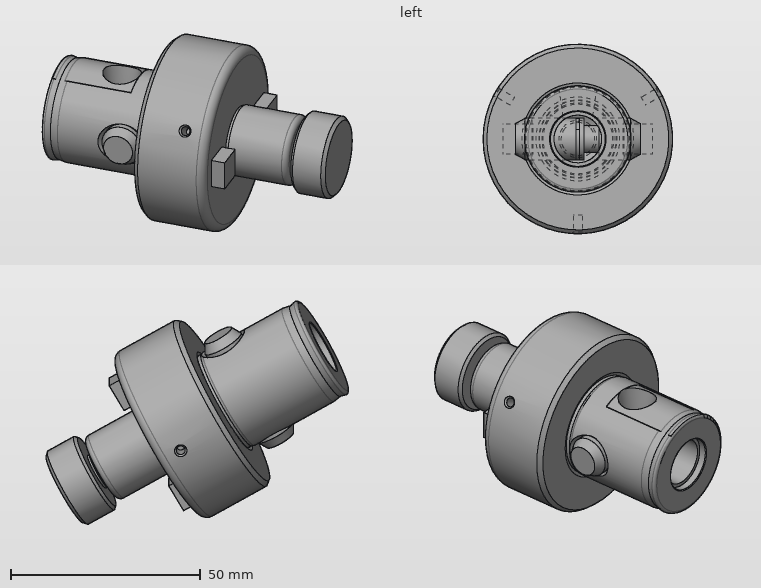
import cadquery as cq
import math

SPIGOT_GROOVE_BOTTOM = 2.4
SPIGOT_GROOVE_END = 4.55
SPIGOT_END = 28.65
RELIEF_START = 29.35
FLANGE_START = 30.0
FLANGE_END = 50.0
NECK_END = 50.8
SHANK_END = 67.5
COLLAR_START = 68.3
HEAD_START = 68.8
OVERALL_LENGTH = 78.5

SPIGOT_RADIUS = 14.05
SPIGOT_FILLET = 0.9
SPIGOT_GROOVE_RADIUS = 13.65
RELIEF_RADIUS = 13.8
FACE_GROOVE_RADIUS = 14.75
FACE_GROOVE_DEPTH = 0.4
FLANGE_DIAMETER = 50.0
FLANGE_RADIUS = FLANGE_DIAMETER / 2
FLANGE_CHAMFER_LENGTH = 1.25
FLANGE_CHAMFER_HEIGHT = 1.0
FLANGE_FILLET = 2.3
SHANK_RADIUS = 9.5
NECK_RADIUS = 9.2
SHANK_FILLET = 1.6

BORE_RADIUS = 6.3
BORE_END = 28.25
BORE_TIP_HALF_ANGLE = 59
MOUTH_RADIUS = 7.2
MOUTH_DEPTH = 2.1
MOUTH_CHAMFER = 0.2

PAD_DEPTH = 0.12
PAD_RADIUS = SPIGOT_RADIUS - PAD_DEPTH
PAD_END = 22.5
PAD_WIDTH = 13.5
TOP_HOLE_X = 17.5
TOP_HOLE_TOP_RADIUS = 5.1
TOP_HOLE_BORE_RADIUS = 4.0

PIN_X = 22.5
PIN_RADIUS = 5.5
PIN_CONE_START = 13.9
PIN_TIP = 16.5
PIN_TIP_RADIUS = 4.1
WAIST_RADIUS = 3.5
WAIST_START = -5.6
WAIST_END = -1.6
RING_START = -0.4
RING_WIDTH = 0.95
RING_INNER_RADIUS = 4.55
RING_GAP_Z = 2.5
RING_GAP_OFFSET = 1.1
SEAT_MOUTH_RADIUS = 6.6
SEAT_HALF_ANGLE = 30

RADIAL_HOLE_X = 43.3
RADIAL_HOLE_RADIUS = 1.2
RADIAL_HOLE_MOUTH_RADIUS = 1.65
RADIAL_HOLE_DEPTH = 5.0
RADIAL_HOLE_ANGLES = (30, 150, 270)

KEY_SIZE = 7.85
KEY_HEIGHT = 3.8
KEY_CENTER_RADIUS = 15.8

HEAD_RADIUS = 11.1
HEAD_FRONT_CHAMFER = 0.8
HEAD_BACK_CHAMFER = 0.95
COLLAR_RADIUS = 4.95
STUD_RADIUS = 4.4


def revolve_about_x(profile):
    """Close a profile of (x, radius) points and revolve it about the X axis."""
    return profile.close().revolve(360, (0, 0, 0), (1, 0, 0))


def cone_along(origin, direction, length, start_radius, end_radius):
    """Truncated cone from origin along direction."""
    return cq.Workplane(
        cq.Solid.makeCone(start_radius, end_radius, length, cq.Vector(*origin), cq.Vector(*direction))
    )


def housing_blank():
    profile = (
        cq.Workplane("XY")
        .moveTo(0, 0)
        .lineTo(0, SPIGOT_RADIUS - SPIGOT_FILLET)
        .radiusArc((SPIGOT_FILLET, SPIGOT_RADIUS), SPIGOT_FILLET)
        .lineTo(SPIGOT_GROOVE_BOTTOM, SPIGOT_GROOVE_RADIUS)
        .lineTo(SPIGOT_GROOVE_END, SPIGOT_RADIUS)
        .lineTo(SPIGOT_END, SPIGOT_RADIUS)
        .lineTo(RELIEF_START, RELIEF_RADIUS)
        .lineTo(FLANGE_START + FACE_GROOVE_DEPTH, RELIEF_RADIUS)
        .lineTo(FLANGE_START, FACE_GROOVE_RADIUS)
        .lineTo(FLANGE_START, FLANGE_RADIUS - FLANGE_CHAMFER_HEIGHT)
        .lineTo(FLANGE_START + FLANGE_CHAMFER_LENGTH, FLANGE_RADIUS)
        .lineTo(FLANGE_END - FLANGE_FILLET, FLANGE_RADIUS)
        .radiusArc((FLANGE_END, FLANGE_RADIUS - FLANGE_FILLET), FLANGE_FILLET)
        .lineTo(FLANGE_END, NECK_RADIUS)
        .lineTo(NECK_END, SHANK_RADIUS)
        .lineTo(SHANK_END - SHANK_FILLET, SHANK_RADIUS)
        .radiusArc((SHANK_END, SHANK_RADIUS - SHANK_FILLET), SHANK_FILLET)
        .lineTo(SHANK_END, 0)
    )
    return revolve_about_x(profile)


def axial_bore():
    tip_length = BORE_RADIUS / math.tan(math.radians(BORE_TIP_HALF_ANGLE))
    profile = (
        cq.Workplane("XY")
        .moveTo(0, 0)
        .lineTo(0, MOUTH_RADIUS + MOUTH_CHAMFER)
        .lineTo(MOUTH_CHAMFER, MOUTH_RADIUS)
        .lineTo(MOUTH_DEPTH, MOUTH_RADIUS)
        .lineTo(MOUTH_DEPTH, BORE_RADIUS)
        .lineTo(BORE_END, BORE_RADIUS)
        .lineTo(BORE_END + tip_length, 0)
    )
    return revolve_about_x(profile)


def pad_cut():
    """Arc-shaped layer above the pad radius, removed from the top of the spigot."""
    layer = (
        cq.Workplane("YZ")
        .circle(FLANGE_RADIUS)
        .circle(PAD_RADIUS)
        .extrude(PAD_END)
    )
    strip = cq.Workplane("XY").box(PAD_END, PAD_WIDTH, FLANGE_RADIUS, centered=(False, True, False))
    return layer.intersect(strip)


def top_hole():
    """Tapered hole that opens upward from the bore axis through the pad."""
    taper = (TOP_HOLE_TOP_RADIUS - TOP_HOLE_BORE_RADIUS) / (PAD_RADIUS - BORE_RADIUS)
    axis_radius = TOP_HOLE_BORE_RADIUS - taper * BORE_RADIUS
    outer_radius = axis_radius + taper * SPIGOT_RADIUS
    return cone_along((TOP_HOLE_X, 0, 0), (0, 0, 1), SPIGOT_RADIUS, axis_radius, outer_radius)


def pin_hole():
    """Cross hole for the pin with a conical seat at both mouths."""
    hole = cq.Workplane("XZ").center(PIN_X, 0).circle(PIN_RADIUS).extrude(SPIGOT_RADIUS, both=True)
    seat_depth = (SEAT_MOUTH_RADIUS - PIN_RADIUS) / math.tan(math.radians(SEAT_HALF_ANGLE))
    for side in (1, -1):
        mouth = (PIN_X, side * SPIGOT_RADIUS, 0)
        hole = hole.union(cone_along(mouth, (0, -side, 0), seat_depth, SEAT_MOUTH_RADIUS, PIN_RADIUS))
    return hole


def radial_hole(angle):
    """Blind hole in the flange rim with a chamfered mouth; angle is measured from +Y toward +Z."""
    outward = cq.Vector(0, math.cos(math.radians(angle)), math.sin(math.radians(angle)))
    start = cq.Vector(RADIAL_HOLE_X, 0, 0) + outward * FLANGE_RADIUS
    chamfer = RADIAL_HOLE_MOUTH_RADIUS - RADIAL_HOLE_RADIUS
    mouth = cone_along(
        start.toTuple(), (-outward).toTuple(), chamfer, RADIAL_HOLE_MOUTH_RADIUS, RADIAL_HOLE_RADIUS
    )
    drill = cq.Solid.makeCylinder(RADIAL_HOLE_RADIUS, RADIAL_HOLE_DEPTH, start, -outward)
    return mouth.union(cq.Workplane(drill))


def make_housing():
    housing = housing_blank().cut(pad_cut()).cut(axial_bore()).cut(top_hole()).cut(pin_hole())
    for angle in RADIAL_HOLE_ANGLES:
        housing = housing.cut(radial_hole(angle))
    return housing


def make_cross_pin():
    """Double-ended pin, revolved about the Y axis from a profile of (radius, y) points."""
    profile = (
        cq.Workplane("XY")
        .moveTo(0, -PIN_TIP)
        .lineTo(PIN_TIP_RADIUS, -PIN_TIP)
        .lineTo(PIN_RADIUS, -PIN_CONE_START)
        .lineTo(PIN_RADIUS, WAIST_START)
        .lineTo(WAIST_RADIUS, WAIST_START)
        .lineTo(WAIST_RADIUS, WAIST_END)
        .lineTo(PIN_RADIUS, WAIST_END)
        .lineTo(PIN_RADIUS, RING_START)
        .lineTo(RING_INNER_RADIUS, RING_START)
        .lineTo(RING_INNER_RADIUS, RING_START + RING_WIDTH)
        .lineTo(PIN_RADIUS, RING_START + RING_WIDTH)
        .lineTo(PIN_RADIUS, PIN_CONE_START)
        .lineTo(PIN_TIP_RADIUS, PIN_TIP)
        .lineTo(0, PIN_TIP)
        .close()
    )
    return profile.revolve(360, (0, 0, 0), (0, 1, 0)).translate((PIN_X, 0, 0))


def make_retaining_ring():
    """Split ring flush in the pin groove; its gap is on the upper -X side."""
    ring = (
        cq.Workplane("XZ", origin=(PIN_X, RING_START, 0))
        .circle(PIN_RADIUS)
        .circle(RING_INNER_RADIUS)
        .extrude(-RING_WIDTH)
    )
    gap = (
        cq.Workplane("XZ", origin=(PIN_X, RING_START, 0))
        .moveTo(-PIN_RADIUS, RING_GAP_Z)
        .lineTo(-RING_GAP_OFFSET, RING_GAP_Z)
        .lineTo(-RING_GAP_OFFSET, PIN_RADIUS)
        .lineTo(-PIN_RADIUS, PIN_RADIUS)
        .close()
        .extrude(-RING_WIDTH)
    )
    return ring.cut(gap)


def make_drive_key(side):
    """Square key standing on the flange face, on the +Y or -Y side."""
    key = cq.Workplane("XY").box(KEY_HEIGHT, KEY_SIZE, KEY_SIZE, centered=(False, True, True))
    return key.translate((FLANGE_END, side * KEY_CENTER_RADIUS, 0))


def make_end_screw():
    profile = (
        cq.Workplane("XY")
        .moveTo(SHANK_END, 0)
        .lineTo(SHANK_END, STUD_RADIUS)
        .lineTo(COLLAR_START, STUD_RADIUS)
        .lineTo(COLLAR_START, COLLAR_RADIUS)
        .lineTo(HEAD_START, COLLAR_RADIUS)
        .lineTo(HEAD_START, HEAD_RADIUS - HEAD_FRONT_CHAMFER)
        .lineTo(HEAD_START + HEAD_FRONT_CHAMFER, HEAD_RADIUS)
        .lineTo(OVERALL_LENGTH - HEAD_BACK_CHAMFER, HEAD_RADIUS)
        .lineTo(OVERALL_LENGTH, HEAD_RADIUS - HEAD_BACK_CHAMFER)
        .lineTo(OVERALL_LENGTH, 0)
    )
    return revolve_about_x(profile)


housing = make_housing()
cross_pin = make_cross_pin()
retaining_ring = make_retaining_ring()
drive_keys = [make_drive_key(side) for side in (1, -1)]
end_screw = make_end_screw()

result = cq.Compound.makeCompound(
    [
        housing.val(),
        cross_pin.val(),
        retaining_ring.val(),
        *[key.val() for key in drive_keys],
        end_screw.val(),
    ]
)